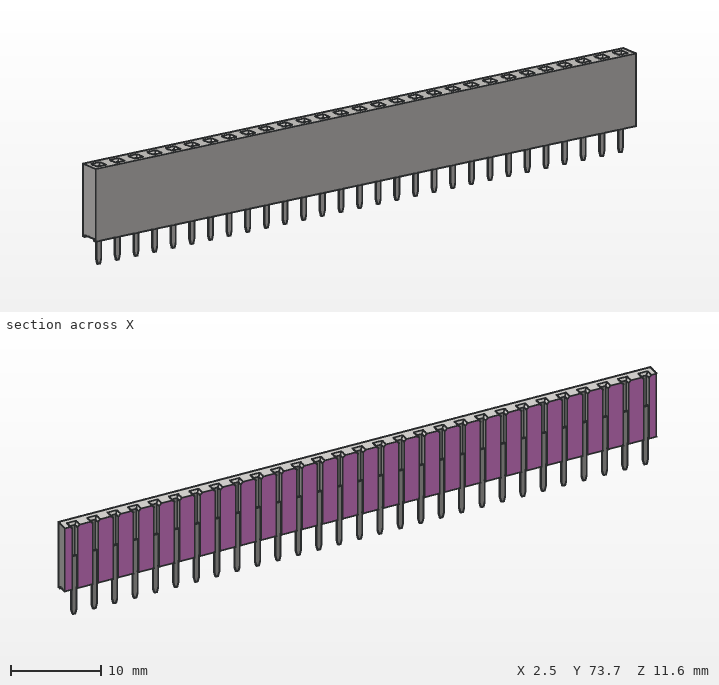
import cadquery as cq

PIN_COUNT = 29
LENGTH = 73.65
WIDTH = 2.5
TOTAL_HEIGHT = 11.6
HOUSING_HEIGHT = 8.5
PITCH = LENGTH / PIN_COUNT

CHANNEL_WIDTH = 1.8
CHANNEL_DEPTH = 0.2

FUNNEL_MOUTH = 1.2
FUNNEL_DEPTH = 0.3
HOLE_SIDE = 0.605

PIN_BREADTH = 0.62
PIN_THICKNESS = 0.2
PIN_TOP = 4.4
PIN_END = HOUSING_HEIGHT - TOTAL_HEIGHT
TIP_BREADTH = 0.31
TIP_LENGTH = 0.6


def make_housing():
    block = cq.Workplane("XY").box(WIDTH, LENGTH, HOUSING_HEIGHT, centered=(True, True, False))
    channel = cq.Workplane("XY").box(CHANNEL_WIDTH, LENGTH, CHANNEL_DEPTH, centered=(True, True, False))
    return block.cut(channel)


def make_socket():
    funnel = (
        cq.Workplane("XY", origin=(0, 0, HOUSING_HEIGHT))
        .rect(FUNNEL_MOUTH, FUNNEL_MOUTH)
        .workplane(offset=-FUNNEL_DEPTH)
        .rect(HOLE_SIDE, HOLE_SIDE)
        .loft(combine=True)
    )
    hole = cq.Workplane("XY").rect(HOLE_SIDE, HOLE_SIDE).extrude(HOUSING_HEIGHT - FUNNEL_DEPTH)
    return funnel.union(hole)


def make_pin():
    """Flat strip in the YZ plane with a tip that narrows along Y."""
    half_profile = [
        (0, PIN_TOP),
        (PIN_BREADTH / 2, PIN_TOP),
        (PIN_BREADTH / 2, PIN_END + TIP_LENGTH),
        (TIP_BREADTH / 2, PIN_END),
        (0, PIN_END),
    ]
    return (
        cq.Workplane("YZ")
        .polyline(half_profile)
        .mirrorY()
        .extrude(PIN_THICKNESS / 2, both=True)
    )


def repeat_along_row(part):
    """Copy a part to the middle of every cell of the housing."""
    cells = cq.Workplane("XY").rarray(0.7, PITCH, 1, PIN_COUNT)
    return cells.eachpoint(lambda location: part.val().moved(location))


sockets = repeat_along_row(make_socket())
pins = repeat_along_row(make_pin())
result = make_housing().cut(sockets).union(pins)